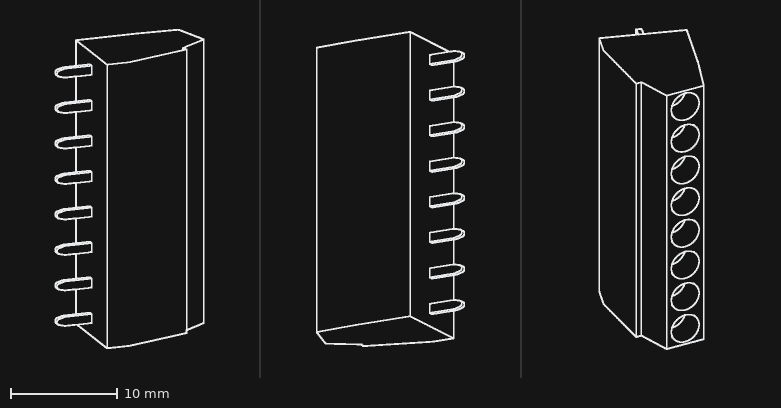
import cadquery as cq
import math

pole_count = 8
total_height = 28.0
pitch = total_height / pole_count

housing_width = 8.4
housing_depth = 11.4
side_bend_y = 6.08
shoulder_x = 0.22
shoulder_y = 10.25
peak_x = 4.0
notch_x = 5.9
notch_y = 8.57
lip_x = 6.45
lip_y = 8.75
flank_bend_y = 2.27

opening_diameter = 2.95
opening_depth = 2.8

pin_length = 3.5
pin_thickness = 0.5
pin_width = 0.9
pin_center_x = 4.0
taper_start = 2.7
taper_end = 3.28
taper_end_width = 0.6

pole_centers = [(index + 0.5) * pitch for index in range(pole_count)]


def make_housing():
    outline = [
        (0, 0),
        (housing_width, 0),
        (housing_width, flank_bend_y),
        (lip_x, lip_y),
        (notch_x, notch_y),
        (peak_x, housing_depth),
        (shoulder_x, shoulder_y),
        (0, side_bend_y),
    ]
    return cq.Workplane("XY").polyline(outline).close().extrude(total_height)


def make_opening(z):
    run = peak_x - shoulder_x
    rise = housing_depth - shoulder_y
    slope_length = math.hypot(run, rise)
    inward = cq.Vector(rise / slope_length, -run / slope_length, 0)
    center = cq.Vector((shoulder_x + peak_x) / 2, (shoulder_y + housing_depth) / 2, z)
    return cq.Solid.makeCylinder(opening_diameter / 2, opening_depth, center, inward)


def make_pin(z):
    half_width = pin_width / 2
    half_end = taper_end_width / 2
    return (
        cq.Workplane("YZ", origin=(pin_center_x - pin_thickness / 2, 0, z))
        .moveTo(0, half_width)
        .lineTo(-taper_start, half_width)
        .lineTo(-taper_end, half_end)
        .threePointArc((-pin_length, 0), (-taper_end, -half_end))
        .lineTo(-taper_start, -half_width)
        .lineTo(0, -half_width)
        .close()
        .extrude(pin_thickness)
    )


result = make_housing()
for pole_z in pole_centers:
    result = result.cut(cq.Workplane(make_opening(pole_z)))
    result = result.union(make_pin(pole_z))